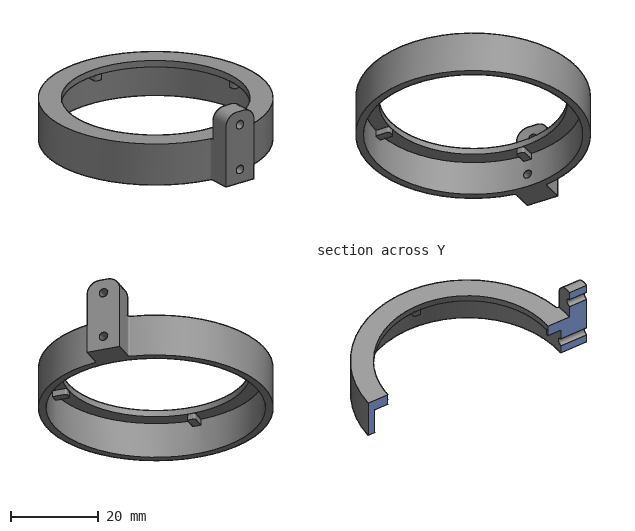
import cadquery as cq
import math

RING_OUTER_RADIUS = 53.55 / 2
RING_HEIGHT = 10.2
BORE_RADIUS = 50 / 2
LIP_INNER_RADIUS = 43 / 2
LIP_THICKNESS = 1.6

OVERALL_LENGTH = 58.7
TAB_WIDTH = 8.0
TAB_OUTER_X = OVERALL_LENGTH - RING_OUTER_RADIUS
TAB_HEIGHT = 17.8
TAB_CORNER_RADIUS = 3.0
TAB_CLEARANCE_RADIUS = 27.3
TAB_ROOT_FILLET = 0.5

HOLE_DIAMETER = 2.05
HOLE_EDGE_DISTANCE = 3.35

PAD_COUNT = 4
PAD_WIDTH = 2.0
PAD_CORNER_RADIUS = 0.5
PAD_DROP = 1.5
PAD_WALL_OVERLAP = 0.5

LIP_BOTTOM_Z = RING_HEIGHT - LIP_THICKNESS


def cylinder(radius, bottom_z, top_z):
    """Solid cylinder on the Z axis between two heights."""
    return cq.Workplane("XY").workplane(offset=bottom_z).circle(radius).extrude(top_z - bottom_z)


def make_tab():
    """Tab from the Z axis outwards, rounded at its upper corners."""
    tab = (
        cq.Workplane("XY")
        .box(TAB_OUTER_X, TAB_WIDTH, TAB_HEIGHT, centered=(False, True, False))
        .edges("|X and >Z")
        .fillet(TAB_CORNER_RADIUS)
    )
    return tab.cut(cylinder(TAB_CLEARANCE_RADIUS, RING_HEIGHT, TAB_HEIGHT))


def make_root_fillet(side):
    """Concave fillet between the ring and one side (+1 or -1) of the tab."""
    tab_y = TAB_WIDTH / 2
    center_y = tab_y + TAB_ROOT_FILLET
    center_distance = RING_OUTER_RADIUS + TAB_ROOT_FILLET
    center_x = math.sqrt(center_distance**2 - center_y**2)
    ring_ratio = RING_OUTER_RADIUS / center_distance
    ring_tangent = (center_x * ring_ratio, side * center_y * ring_ratio)
    tab_tangent = (center_x, side * tab_y)

    chord_x = (ring_tangent[0] + tab_tangent[0]) / 2 - center_x
    chord_y = (ring_tangent[1] + tab_tangent[1]) / 2 - side * center_y
    reach = TAB_ROOT_FILLET / math.hypot(chord_x, chord_y)
    arc_middle = (center_x + chord_x * reach, side * center_y + chord_y * reach)

    return (
        cq.Workplane("XY")
        .moveTo(*ring_tangent)
        .threePointArc(arc_middle, tab_tangent)
        .lineTo(BORE_RADIUS, side * tab_y)
        .close()
        .extrude(RING_HEIGHT)
    )


def make_pad(angle):
    """Pad below the lip, reaching inwards from the wall to the lip edge."""
    length = BORE_RADIUS + PAD_WALL_OVERLAP - LIP_INNER_RADIUS
    height = PAD_DROP + LIP_THICKNESS / 2
    return (
        cq.Workplane("XY")
        .box(length, PAD_WIDTH, height, centered=(False, True, False))
        .edges("|Z and <X")
        .fillet(PAD_CORNER_RADIUS)
        .translate((LIP_INNER_RADIUS, 0, LIP_BOTTOM_Z - PAD_DROP))
        .rotate((0, 0, 0), (0, 0, 1), angle)
    )


def make_hole(height):
    """Cutter along +X, from the ring axis out through the tab."""
    return (
        cq.Workplane("YZ")
        .center(0, height)
        .circle(HOLE_DIAMETER / 2)
        .extrude(TAB_OUTER_X)
    )


body = cylinder(RING_OUTER_RADIUS, 0, RING_HEIGHT).union(make_tab())
for tab_side in (1, -1):
    body = body.union(make_root_fillet(tab_side))
body = body.cut(cylinder(BORE_RADIUS, 0, LIP_BOTTOM_Z))
body = body.cut(cylinder(LIP_INNER_RADIUS, LIP_BOTTOM_Z, RING_HEIGHT))

for index in range(PAD_COUNT):
    body = body.union(make_pad(index * 360 / PAD_COUNT))

for hole_height in (HOLE_EDGE_DISTANCE, TAB_HEIGHT - HOLE_EDGE_DISTANCE):
    body = body.cut(make_hole(hole_height))

result = body